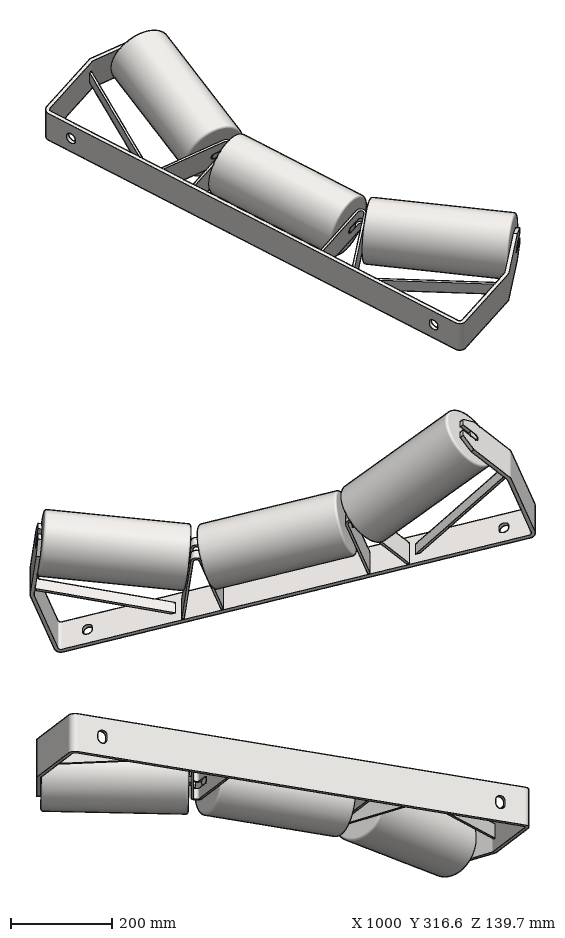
import cadquery as cq
import math

frame_length = 1000.0
frame_height = 80.0
frame_thickness = 8.0
frame_bend_inner = 6.0
wing_bend_y = 165.0
wing_angle = 25.0
wing_length = 137.0
wing_chamfer_length = 31.0
wing_chamfer_height = 17.0
bolt_x = 433.0
bolt_slot_width = 20.0
bolt_slot_height = 27.0

roller_diameter = 133.0
roller_length = 291.0
roller_fillet = 5.0
axle_diameter = 20.0
axle_length = 310.0
axle_flat_width = 14.0
center_roller_y = 124.0
wing_axle_distance = 107.0
center_roller_drop = 7.0

bracket_thickness = 5.0
bracket_bend_inner = 6.0
bracket_height = 60.0

axle_slot_width = 15.0
axle_slot_clearance = 13.0
cutter_reach = 60.0
cutter_depth = 16.0

brace_thickness = 5.0
brace_height = 30.0
brace_wall_y = 155.0
brace_base_x = 254.0

half_length = frame_length / 2
frame_bend_outer = frame_bend_inner + frame_thickness
bracket_bend_outer = bracket_bend_inner + bracket_thickness
wing_sin = math.sin(math.radians(wing_angle))
wing_cos = math.cos(math.radians(wing_angle))
wall_inner_x = half_length - frame_thickness
half_axle = axle_length / 2


def along_wing(distance, depth=0.0):
    """Point on the right wing: distance up from the bend, depth in from the outer face."""
    x = half_length - distance * wing_sin - depth * wing_cos
    y = wing_bend_y + distance * wing_cos - depth * wing_sin
    return x, y


def prism(points, height, z_center=0.0):
    """Upright prism of a plan outline, centered on z_center."""
    bottom = cq.Workplane("XY").workplane(offset=z_center - height / 2)
    return bottom.polyline(points).close().extrude(height)


def mirrored(points):
    """Right-hand outline points followed by their left-hand mirror images."""
    return points + [(-x, y) for x, y in reversed(points)]


def round_upright_edge(solid, x, y, radius):
    """Round the upright edge that passes through (x, y)."""
    return solid.edges(cq.selectors.NearestToPointSelector((x, y, 0))).fillet(radius)


def slot_cutter(seat, along_up, normal):
    """Axle slot, round at the floor and open upwards, through a plate at the seat point."""
    radius = axle_slot_width / 2
    floor = -axle_slot_clearance + radius
    plane = cq.Plane(origin=seat, xDir=along_up, normal=normal)
    return (
        cq.Workplane(plane)
        .moveTo(cutter_reach, radius)
        .lineTo(floor, radius)
        .threePointArc((floor - radius, 0), (floor, -radius))
        .lineTo(cutter_reach, -radius)
        .close()
        .extrude(cutter_depth, both=True)
    )


wing_up = (-wing_sin, wing_cos, 0)
wing_normal = (wing_cos, wing_sin, 0)
wing_seat_x, wing_seat_y = along_wing(wing_axle_distance)
side_roller_x, side_roller_y = along_wing(wing_axle_distance, half_axle)
leg_seat_x, leg_seat_y = along_wing(wing_axle_distance, axle_length)
roller_tilt = math.degrees(math.asin(center_roller_drop / axle_length))


def wing_corner_cutter(tip, edge):
    """Wedge that bevels the upper (edge=1) or lower (edge=-1) corner of the right wing tip."""
    edge_height = edge * frame_height / 2
    plane = cq.Plane(origin=(*tip, 0), xDir=wing_up, normal=wing_normal)
    return (
        cq.Workplane(plane)
        .polyline([
            (0, edge_height),
            (-wing_chamfer_length, edge_height),
            (0, edge_height - edge * wing_chamfer_height),
        ])
        .close()
        .extrude(cutter_depth, both=True)
    )


def make_frame():
    inner_bend_y = wing_bend_y - frame_thickness * math.tan(math.radians(wing_angle / 2))
    outer_tip = along_wing(wing_length)
    inner_tip = along_wing(wing_length, frame_thickness)

    outer = prism(mirrored([(half_length, 0), (half_length, wing_bend_y), outer_tip, inner_tip]), frame_height)
    inner = prism(
        mirrored([(wall_inner_x, frame_thickness), (wall_inner_x, inner_bend_y), inner_tip]), frame_height
    )
    for side in (1, -1):
        outer = round_upright_edge(outer, side * half_length, 0, frame_bend_outer)
        outer = round_upright_edge(outer, side * half_length, wing_bend_y, frame_bend_outer)
        inner = round_upright_edge(inner, side * wall_inner_x, frame_thickness, frame_bend_inner)
        inner = round_upright_edge(inner, side * wall_inner_x, inner_bend_y, frame_bend_inner)
    frame = outer.cut(inner)

    wing_slot = slot_cutter((wing_seat_x, wing_seat_y, 0), wing_up, wing_normal)
    for cutter in (wing_slot, wing_corner_cutter(outer_tip, 1), wing_corner_cutter(outer_tip, -1)):
        frame = frame.cut(cutter).cut(cutter.mirror("YZ"))

    bolt_slots = (
        cq.Workplane("XZ")
        .pushPoints([(-bolt_x, 0), (bolt_x, 0)])
        .slot2D(bolt_slot_height, bolt_slot_width, 90)
        .extrude(-cutter_depth)
    )
    return frame.cut(bolt_slots)


def leg_triangle(upright_x, leg_x, bend_radius):
    """Solid under the V between an upright face and a leaning face (leg_x at the base bar)."""
    apex_y = frame_thickness + (leg_x - upright_x) * wing_cos / wing_sin
    points = [(upright_x, frame_thickness), (leg_x, frame_thickness), (upright_x, apex_y)]
    return round_upright_edge(prism(points, bracket_height, -center_roller_drop), upright_x, apex_y, bend_radius)


def make_bracket():
    """Right-hand bracket; its inner faces are flush with the axle ends."""
    lean_inner_x = leg_seat_x + (leg_seat_y - frame_thickness) * wing_sin / wing_cos
    lean_outer_x = lean_inner_x + bracket_thickness / wing_cos
    outer = leg_triangle(half_axle - bracket_thickness, lean_outer_x, bracket_bend_outer)
    inner = leg_triangle(half_axle, lean_inner_x, bracket_bend_inner)
    upright_slot = slot_cutter((half_axle, center_roller_y, -center_roller_drop), (0, 1, 0), (1, 0, 0))
    leaning_slot = slot_cutter((leg_seat_x, leg_seat_y, -center_roller_drop), wing_up, wing_normal)
    return outer.cut(inner).cut(upright_slot).cut(leaning_slot)


def make_brace():
    """Right-hand brace between the base bar and the side wall."""
    slope = math.atan2(brace_wall_y - frame_thickness, wall_inner_x - brace_base_x)
    half_x = brace_thickness / 2 / math.sin(slope)
    half_y = brace_thickness / 2 / math.cos(slope)
    return prism([
        (brace_base_x - half_x, frame_thickness),
        (brace_base_x + half_x, frame_thickness),
        (wall_inner_x, brace_wall_y - half_y),
        (wall_inner_x, brace_wall_y + half_y),
    ], brace_height)


def make_roller():
    """Roller and axle along X, centered on the origin; the axle ends have two flats."""
    shell = (
        cq.Workplane("YZ")
        .workplane(offset=-roller_length / 2)
        .circle(roller_diameter / 2)
        .extrude(roller_length)
        .edges("%CIRCLE")
        .fillet(roller_fillet)
    )
    axle = cq.Workplane("YZ").circle(axle_diameter / 2).extrude(half_axle, both=True)
    flats = cq.Workplane("XY").box(axle_length, axle_diameter, axle_flat_width)
    return shell.union(axle.intersect(flats))


center_roller = make_roller().translate((0, center_roller_y, -center_roller_drop))
side_roller = (
    make_roller()
    .rotate((0, 0, 0), (0, 1, 0), -roller_tilt)
    .rotate((0, 0, 0), (0, 0, 1), wing_angle)
    .translate((side_roller_x, side_roller_y, -center_roller_drop / 2))
)

bodies = [make_frame().solids().val(), center_roller.solids().val()]
for right_body in (make_bracket(), make_brace(), side_roller):
    bodies.append(right_body.solids().val())
    bodies.append(right_body.mirror("YZ").solids().val())

result = cq.Compound.makeCompound(bodies)